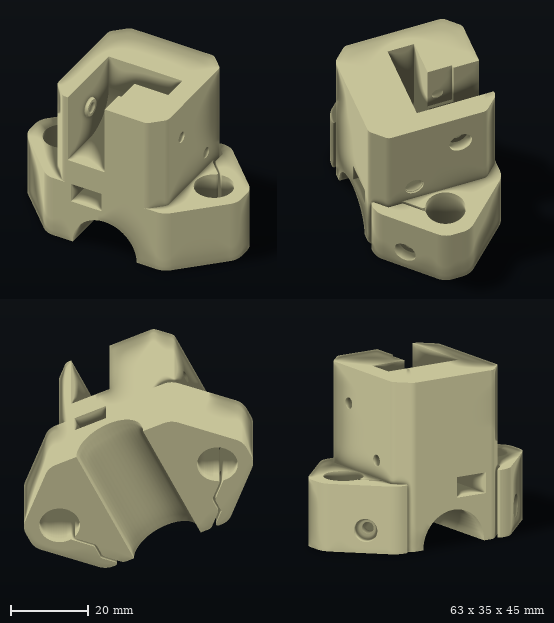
import cadquery as cq
import math

width = 63.0
depth = 35.0
height = 45.0
half_width = width / 2
half_depth = depth / 2

base_height = 18.0
base_corner_cut = 14.05
base_corner_radius = 5.0

body_half_width = 16.5
body_corner_cut = 4.05
body_edge_radius = 2.0

rod_x = 22.5
rod_diameter = 10.5
rod_radius = rod_diameter / 2
slit_width = 0.7
slit_bend_y = 9.5
slit_outer_bend_radius = 1.25
tip_radius = 0.5

clamp_screw_y = 11.5
clamp_screw_z = 6.05
clamp_screw_length = 13.85

screw_diameter = 3.1
screw_radius = screw_diameter / 2
head_radius = 3.1
head_depth = 2.95

pocket_width = 10.95
wheel_radius = 10.0
shaft_offset_y = 6.35
front_shaft_z = 35.2
rear_shaft_z = 22.6

spacer_base_radius = 2.7
spacer_tip_radius = 2.3
spacer_length = 0.8

relief_depth = 0.9
relief_half_width = 4.05

bore_diameter = 4.7
bore_radius = bore_diameter / 2
bore_depth = 7.55
bore_mouth_radius = 2.5
bore_mouth_depth = 0.5

window_left = -10.0
window_right = -1.0
window_bottom = 12.55
groove_radius = 9.5

overrun = 0.6

slope_sine = math.sin(math.radians(45))
half_slope_tangent = math.tan(math.radians(45 / 2))


def chamfered_block(half_x, block_height, corner_cut, edge_radius):
    """Block on the floor with 45-degree corners and rounded vertical edges."""
    return (
        cq.Workplane("XY")
        .rect(2 * half_x, depth)
        .extrude(block_height)
        .edges("|Z")
        .chamfer(corner_cut)
        .edges("|Z")
        .fillet(edge_radius)
    )


def x_cylinder(radius, x_start, x_end, y, z):
    return (
        cq.Workplane("YZ", origin=(x_start, y, z))
        .circle(radius)
        .extrude(x_end - x_start)
    )


def box_between(x_range, y_range, z_range):
    sizes = [end - start for start, end in (x_range, y_range, z_range)]
    corner = (x_range[0], y_range[0], z_range[0])
    return cq.Workplane("XY").box(*sizes, centered=False).translate(corner)


def fillet_near(solid, x, y, radius):
    """Round the vertical edge closest to the point (x, y)."""
    selector = cq.selectors.NearestToPointSelector((x, y, base_height / 2))
    return solid.edges("|Z").edges(selector).fillet(radius)


def clamp_slit():
    """Left slit: follows the body's rear corner, then slopes into the rod hole."""
    inner_x = -body_half_width
    outer_x = inner_x - slit_width
    miter = slit_width * half_slope_tangent
    corner_y = half_depth - body_corner_cut
    top_y = half_depth + overrun
    end_run = slit_bend_y - rod_radius * slope_sine
    inside_x = inner_x + 2 * body_corner_cut
    mid_y = (corner_y + slit_bend_y) / 2 + miter
    outer_corner_y = corner_y + miter
    outer_bend_y = slit_bend_y + miter
    outline = [
        (outer_x + top_y - outer_corner_y, top_y),
        (outer_x, outer_corner_y),
        (outer_x, outer_bend_y),
        (outer_x - end_run, outer_bend_y - end_run),
        (inner_x - end_run, slit_bend_y - end_run),
        (inner_x, slit_bend_y),
        (inner_x, mid_y),
        (inside_x, mid_y),
        (inside_x, top_y),
    ]
    slit = cq.Workplane("XY").polyline(outline).close().extrude(base_height)
    slit = fillet_near(slit, outer_x, outer_bend_y, slit_outer_bend_radius)
    return fillet_near(slit, inner_x, slit_bend_y, body_edge_radius)


def clamp_screw_hole():
    """Left clamp screw: head recess and blind hole across the slit."""
    face_x = -(half_width + half_depth - base_corner_cut - clamp_screw_y)
    plane = cq.Plane(
        origin=(face_x, clamp_screw_y, clamp_screw_z),
        xDir=(0, 0, 1),
        normal=(1, -1, 0),
    )
    start = cq.Workplane(plane).workplane(offset=-overrun)
    head = start.circle(head_radius).extrude(head_depth + overrun)
    shank = start.circle(screw_radius).extrude(clamp_screw_length + overrun)
    return head.union(shank)


def base():
    block = chamfered_block(half_width, base_height, base_corner_cut, base_corner_radius)
    slit = clamp_slit()
    rods = (
        cq.Workplane("XY")
        .pushPoints([(-rod_x, 0), (rod_x, 0)])
        .circle(rod_radius)
        .extrude(base_height)
    )
    block = block.cut(rods).cut(slit).cut(slit.mirror("YZ"))

    arm_tip_x = body_half_width + slit_width / slope_sine - body_corner_cut
    line_height = slit_bend_y + body_half_width - rod_x
    nub_y = (line_height + math.sqrt(2 * rod_radius**2 - line_height**2)) / 2
    nub_x = rod_x + line_height - nub_y
    for side in (-1, 1):
        block = fillet_near(block, side * arm_tip_x, half_depth, tip_radius)
        block = fillet_near(block, side * nub_x, nub_y, tip_radius)
    return block


def front_wheel_pocket():
    """Left pocket: open at the top and front, with a rounded rear floor."""
    axis_y = -shaft_offset_y
    back_y = axis_y + wheel_radius
    floor_z = front_shaft_z - wheel_radius
    arc_step = wheel_radius * slope_sine
    return (
        cq.Workplane("YZ", origin=(-pocket_width, 0, 0))
        .moveTo(-half_depth, floor_z)
        .lineTo(axis_y, floor_z)
        .threePointArc((axis_y + arc_step, front_shaft_z - arc_step), (back_y, front_shaft_z))
        .lineTo(back_y, height)
        .lineTo(-half_depth, height)
        .close()
        .extrude(pocket_width)
    )


def rear_wheel_pocket():
    """Right pocket: round cavity in the body with a narrow well up to the top."""
    front_y = shaft_offset_y - wheel_radius
    back_y = wheel_radius - shaft_offset_y
    cavity = x_cylinder(wheel_radius, 0, pocket_width, shaft_offset_y, rear_shaft_z)
    well = box_between((0, pocket_width), (front_y, back_y), (rear_shaft_z, height))
    return cavity.union(well)


def spacer():
    """Left-hand spacer cone on its wheel pocket's outer wall, centred on the X axis."""
    return (
        cq.Workplane("YZ", origin=(-pocket_width, 0, 0))
        .circle(spacer_base_radius)
        .workplane(offset=spacer_length)
        .circle(spacer_tip_radius)
        .loft()
    )


def front_relief():
    y_range = (-shaft_offset_y - relief_half_width, -shaft_offset_y + relief_half_width)
    return box_between((0, relief_depth), y_range, (front_shaft_z - relief_half_width, height))


def front_shaft_hole():
    left = -body_half_width
    hole = x_cylinder(screw_radius, left, body_half_width, -shaft_offset_y, front_shaft_z)
    head = x_cylinder(head_radius, left, left + head_depth, -shaft_offset_y, front_shaft_z)
    return hole.union(head)


def rear_shaft_hole():
    left = -body_half_width
    hole = x_cylinder(screw_radius, left, body_half_width, shaft_offset_y, rear_shaft_z)
    bore = x_cylinder(bore_radius, left, left + bore_depth, shaft_offset_y, rear_shaft_z)
    mouth = x_cylinder(bore_mouth_radius, left, left + bore_mouth_depth, shaft_offset_y, rear_shaft_z)
    return hole.union(bore).union(mouth)


def belt_window():
    return box_between((window_left, window_right), (-half_depth, half_depth), (window_bottom, base_height))


def tube_groove():
    return cq.Workplane("XZ").circle(groove_radius).extrude(half_depth, both=True)


body = chamfered_block(body_half_width, height, body_corner_cut, body_edge_radius)
front_spacer = spacer().translate((0, -shaft_offset_y, front_shaft_z))
rear_spacer = spacer().mirror("YZ").translate((0, shaft_offset_y, rear_shaft_z))
screw_hole = clamp_screw_hole()

result = (
    base()
    .union(body)
    .cut(front_wheel_pocket())
    .cut(rear_wheel_pocket())
    .union(front_spacer)
    .union(rear_spacer)
    .cut(front_relief())
    .cut(front_shaft_hole())
    .cut(rear_shaft_hole())
    .cut(belt_window())
    .cut(tube_groove())
    .cut(screw_hole)
    .cut(screw_hole.mirror("YZ"))
)